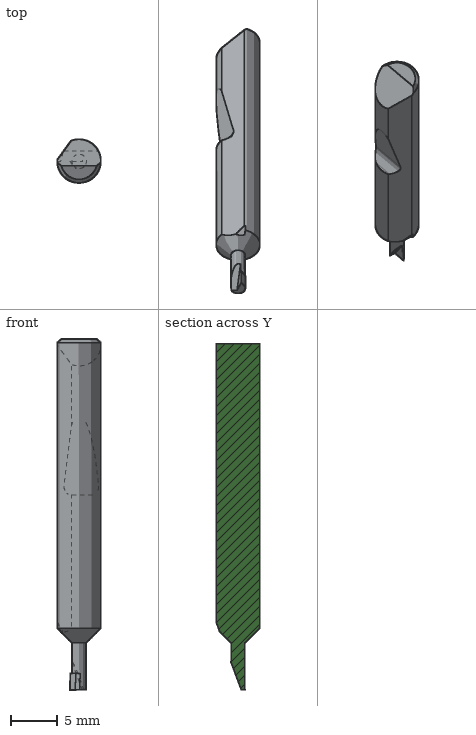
import math

import cadquery as cq


OVERALL_LENGTH = 38.1
SHANK_RADIUS = 4.7625 / 2
NECK_RADIUS = 1.55 / 2
NECK_TOP_Z = 5.13
SHOULDER_Z = NECK_TOP_Z + SHANK_RADIUS - NECK_RADIUS
TOP_CHAMFER = 0.4

TOP_EDGE_Y = -0.51

FLAT_NORMAL_ANGLE = 143.8
FLAT_DISTANCE = 2.0

NOTCH_BOTTOM_Z = 21.2
NOTCH_FLOOR_Y = 0.94
NOTCH_SLOPE_ANGLE = 9.6
NOTCH_CORNER_RADIUS = 1.0

FLUTE_FOOT_X = 0.34
FLUTE_LEAN = 0.36
FLUTE_TURN_ANGLE = 14.0

TIP_REACH = 1.0
TIP_HEIGHT = 1.83
TIP_LEAN_ANGLE = 1.25
TIP_LAND_START_X = -0.40
TIP_LAND_START_Y = -0.75
TIP_LAND_END_X = 0.08
TIP_LAND_END_Y = -0.79
TIP_CLEARANCE_SAG = 0.03
END_RELIEF_RISE = 0.05

CLEARANCE = 2 * SHANK_RADIUS


def turned_body():
    """Neck, 45 degree shoulder and chamfered shank as one revolved profile."""
    profile = (
        cq.Workplane("XZ")
        .moveTo(0, 0)
        .lineTo(-NECK_RADIUS, 0)
        .lineTo(-NECK_RADIUS, NECK_TOP_Z)
        .lineTo(-SHANK_RADIUS, SHOULDER_Z)
        .lineTo(-SHANK_RADIUS, OVERALL_LENGTH - TOP_CHAMFER)
        .lineTo(-SHANK_RADIUS + TOP_CHAMFER, OVERALL_LENGTH)
        .lineTo(0, OVERALL_LENGTH)
        .close()
    )
    return profile.revolve(360, (0, 0), (0, 1))


def slanted_top_cut():
    """Wedge that slopes the top down towards +Y at 45 degrees."""
    end_y = TOP_EDGE_Y + CLEARANCE
    return (
        cq.Workplane("YZ")
        .moveTo(TOP_EDGE_Y, OVERALL_LENGTH)
        .lineTo(end_y, OVERALL_LENGTH - CLEARANCE)
        .lineTo(end_y, OVERALL_LENGTH)
        .close()
        .extrude(CLEARANCE, both=True)
    )


def side_flat_cut():
    """Block beyond the flat that runs the whole length of the shank."""
    return (
        cq.Workplane("XY")
        .rect(CLEARANCE, 2 * CLEARANCE)
        .extrude(OVERALL_LENGTH)
        .translate((FLAT_DISTANCE + CLEARANCE / 2, 0, 0))
        .rotate((0, 0, 0), (0, 0, 1), FLAT_NORMAL_ANGLE)
    )


def clamping_notch_cut():
    """Notch with a square lower shoulder, a round corner and a long ramp out."""
    ramp_height = CLEARANCE / math.tan(math.radians(NOTCH_SLOPE_ANGLE))
    notch = (
        cq.Workplane("YZ")
        .moveTo(NOTCH_FLOOR_Y + CLEARANCE, NOTCH_BOTTOM_Z)
        .lineTo(NOTCH_FLOOR_Y, NOTCH_BOTTOM_Z)
        .lineTo(NOTCH_FLOOR_Y + CLEARANCE, NOTCH_BOTTOM_Z + ramp_height)
        .close()
        .extrude(CLEARANCE, both=True)
    )
    return notch.edges("|X").edges("<Y").fillet(NOTCH_CORNER_RADIUS)


def chip_flute_cut():
    """Flute whose floor clips the shoulder and runs deeper into the neck towards the tip."""
    bottom_z = -CLEARANCE
    top_z = SHOULDER_Z + CLEARANCE
    beyond_x = -2 * CLEARANCE
    wedge = (
        cq.Workplane("XZ")
        .moveTo(FLUTE_FOOT_X - FLUTE_LEAN * bottom_z, bottom_z)
        .lineTo(FLUTE_FOOT_X - FLUTE_LEAN * top_z, top_z)
        .lineTo(beyond_x, top_z)
        .lineTo(beyond_x, bottom_z)
        .close()
        .extrude(CLEARANCE, both=True)
        .rotate((FLUTE_FOOT_X, 0, 0), (FLUTE_FOOT_X, 0, 1), -FLUTE_TURN_ANGLE)
    )
    half_space = cq.Workplane("XY").box(
        6 * CLEARANCE, CLEARANCE, OVERALL_LENGTH, centered=(True, False, True)
    )
    return wedge.intersect(half_space)


def cutting_tip():
    """Tip with a curved clearance face and a flat land, leaning back for side clearance."""
    chord_x = TIP_LAND_START_X + TIP_REACH
    chord = math.hypot(chord_x, TIP_LAND_START_Y)
    clearance_middle = (
        (TIP_LAND_START_X - TIP_REACH) / 2 + TIP_LAND_START_Y / chord * TIP_CLEARANCE_SAG,
        TIP_LAND_START_Y / 2 - chord_x / chord * TIP_CLEARANCE_SAG,
    )
    return (
        cq.Workplane("XY", origin=(0, 0, -END_RELIEF_RISE))
        .moveTo(-TIP_REACH, 0)
        .threePointArc(clearance_middle, (TIP_LAND_START_X, TIP_LAND_START_Y))
        .lineTo(TIP_LAND_END_X, TIP_LAND_END_Y)
        .lineTo(TIP_LAND_END_X, 0)
        .close()
        .extrude(TIP_HEIGHT + END_RELIEF_RISE)
        .rotate((-TIP_REACH, 0, 0), (-TIP_REACH, 1, 0), TIP_LEAN_ANGLE)
    )


def end_relief_cut():
    """Thin wedge under the tip so only the cutting corner reaches Z = 0."""
    return (
        cq.Workplane("XZ")
        .moveTo(-CLEARANCE, 0)
        .lineTo(-TIP_REACH, 0)
        .lineTo(NECK_RADIUS, END_RELIEF_RISE)
        .lineTo(NECK_RADIUS, -CLEARANCE)
        .lineTo(-CLEARANCE, -CLEARANCE)
        .close()
        .extrude(CLEARANCE, both=True)
    )


result = (
    turned_body()
    .cut(slanted_top_cut())
    .cut(side_flat_cut())
    .cut(clamping_notch_cut())
    .cut(chip_flute_cut())
    .union(cutting_tip())
    .cut(end_relief_cut())
)